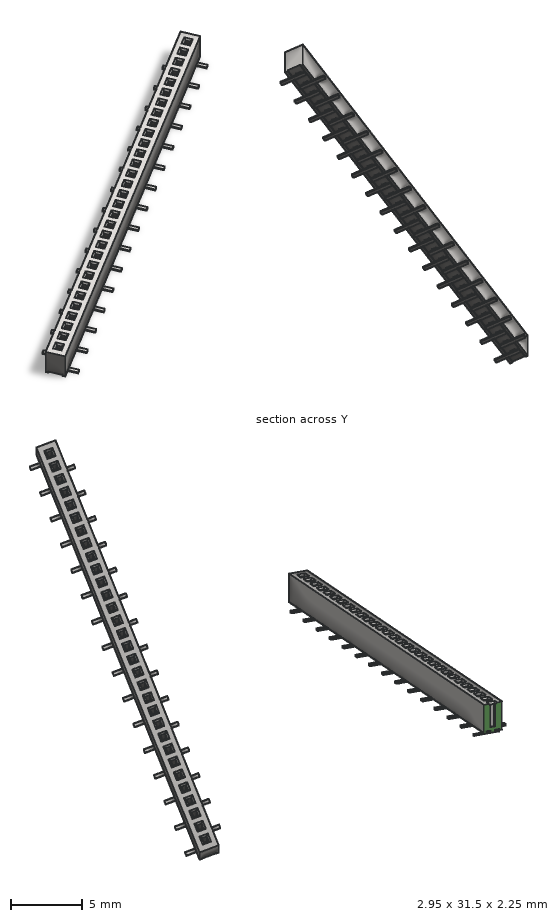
import cadquery as cq


row_length = 31.5
overall_height = 2.25
tail_span = 2.95
contact_count = 31
end_margin = 0.75

body_width = 1.45
body_lift = 0.1
channel_width = 1.05
channel_depth = 0.1

mouth_size = 0.63
bore_size = 0.35

tail_width = 0.268
tail_thickness = 0.13
riser_width = 0.15
riser_top = 0.47

body_height = overall_height - body_lift
funnel_depth = (mouth_size - bore_size) / 2
first_y = row_length / 2 - end_margin
pitch = 2 * first_y / (contact_count - 1)


def box_on(width, length, height, base):
    """Box centred on the Z axis with its underside at the given height."""
    return cq.Workplane("XY").workplane(offset=base).rect(width, length).extrude(height)


def make_bar():
    """Plain bar with a shallow groove along the whole underside."""
    bar = box_on(body_width, row_length, body_height, body_lift)
    groove = box_on(channel_width, row_length, channel_depth, body_lift)
    return bar.cut(groove)


def make_socket_cavity():
    """Square through bore with a tapered lead-in, centred on the Z axis."""
    bore = box_on(bore_size, bore_size, body_height, body_lift)
    funnel = (
        cq.Workplane("XY")
        .workplane(offset=overall_height)
        .rect(mouth_size, mouth_size)
        .workplane(offset=-funnel_depth)
        .rect(bore_size, bore_size)
        .loft(ruled=True)
    )
    return bore.union(funnel)


def make_contact(side):
    """Flat tail pointing to +X (side = 1) or -X (side = -1), with an upright part in the bore.

    The tail runs under the housing from the far wall of the groove to its tip.
    """
    tail_length = (tail_span + channel_width) / 2
    centre_x = side * (tail_span - tail_length) / 2
    tail = box_on(tail_length, tail_width, tail_thickness, 0).translate((centre_x, 0, 0))
    riser = box_on(bore_size, riser_width, riser_top, 0)
    return tail.union(riser)


def copies_at(shape, y_positions):
    """Compound of the shape repeated at the given places along the row."""
    solid = shape.val()
    copies = [solid.moved(cq.Location(cq.Vector(0, y, 0))) for y in y_positions]
    return cq.Workplane(obj=cq.Compound.makeCompound(copies))


row_positions = [first_y - index * pitch for index in range(contact_count)]
right_positions = row_positions[0::2]
left_positions = row_positions[1::2]

housing = make_bar().cut(copies_at(make_socket_cavity(), row_positions))
result = (
    housing
    .union(copies_at(make_contact(1), right_positions))
    .union(copies_at(make_contact(-1), left_positions))
)